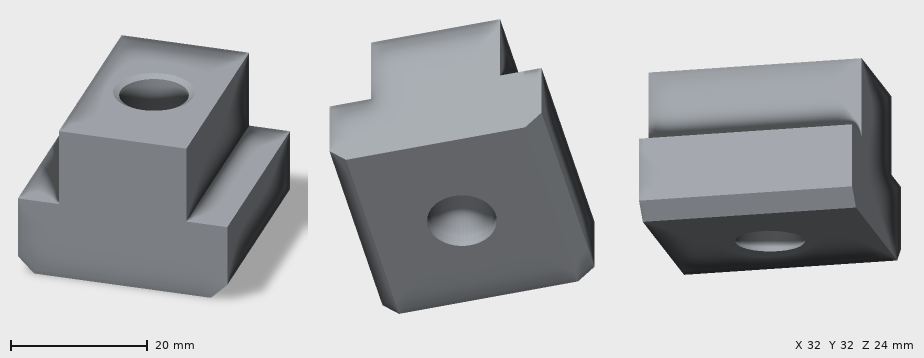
import cadquery as cq
import math

width = 32.0
length = 32.0
height = 24.0
stem_width = 19.5
base_height = height / 2
base_chamfer = 2.5

hole_diameter = 10.2
countersink_diameter = 12.0
countersink_angle = 120.0


def make_body():
    """T-shaped block standing on Z = 0, centred in X and Y."""
    base = cq.Workplane("XY").box(width, length, base_height, centered=(True, True, False))
    base = base.edges("|Y and <Z").chamfer(base_chamfer)
    stem = cq.Workplane("XY").box(stem_width, length, height, centered=(True, True, False))
    return base.union(stem)


def make_hole_cutter():
    """Through hole with a conical countersink at the top, turned about Z."""
    hole_radius = hole_diameter / 2
    top_radius = countersink_diameter / 2
    sink_depth = (top_radius - hole_radius) / math.tan(math.radians(countersink_angle / 2))
    return (
        cq.Workplane("XZ")
        .moveTo(0, 0)
        .lineTo(hole_radius, 0)
        .lineTo(hole_radius, height - sink_depth)
        .lineTo(top_radius, height)
        .lineTo(0, height)
        .close()
        .revolve(360, (0, 0, 0), (0, 1, 0))
    )


result = make_body().cut(make_hole_cutter())